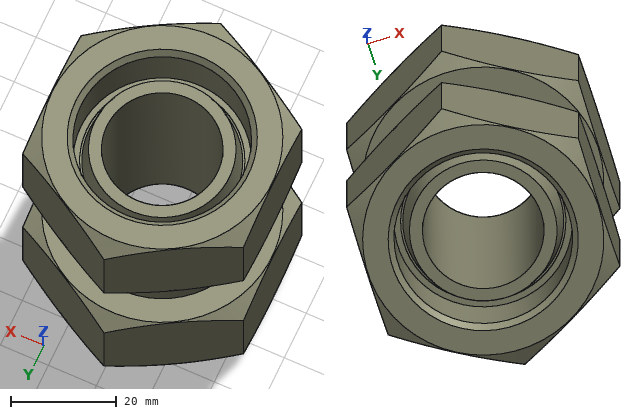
import cadquery as cq
import math

total_height = 58.0
nut_height = 21.0
across_flats = 46.0
across_corners = across_flats / math.cos(math.radians(30))
hexagon_turn = 30
neck_diameter = 36.0
bore_diameter = 23.0

nut_face_diameter = 45.7
corner_chamfer_angle = 30

mouth_diameter = 36.0
thread_diameter = 33.8
mouth_chamfer = (mouth_diameter - thread_diameter) / 2

nipple_depth = 6.0
nipple_tip_diameter = 27.95
nipple_base_diameter = 30.5
shoulder_hole_diameter = 31.3
cone_half_angle = 12
cone_height = (nipple_base_diameter - nipple_tip_diameter) / 2 / math.tan(math.radians(cone_half_angle))
groove_depth = nipple_depth + cone_height
groove_step = 0.25
shoulder_depth = groove_depth - groove_step


def revolve_profile(points):
    """Revolve (radius, height) points about the Z axis."""
    return cq.Workplane("XZ").polyline(points).close().revolve(360, (0, 0), (0, 1))


def make_nut():
    """Hexagon with corners on the Y axis and both ends chamfered."""
    face_radius = nut_face_diameter / 2
    corner_radius = across_corners / 2
    corner_drop = (corner_radius - face_radius) * math.tan(math.radians(corner_chamfer_angle))
    hexagon = (
        cq.Workplane("XY")
        .polygon(6, across_corners)
        .extrude(nut_height)
        .rotate((0, 0, 0), (0, 0, 1), hexagon_turn)
    )
    envelope = revolve_profile([
        (0, 0),
        (face_radius, 0),
        (corner_radius, corner_drop),
        (corner_radius, nut_height - corner_drop),
        (face_radius, nut_height),
        (0, nut_height),
    ])
    return hexagon.intersect(envelope)


def make_top_cavity():
    """Empty space of the upper mouth, above and around the nipple."""
    return revolve_profile([
        (0, total_height),
        (mouth_diameter / 2, total_height),
        (thread_diameter / 2, total_height - mouth_chamfer),
        (thread_diameter / 2, total_height - shoulder_depth),
        (shoulder_hole_diameter / 2, total_height - shoulder_depth),
        (shoulder_hole_diameter / 2, total_height - groove_depth),
        (nipple_base_diameter / 2, total_height - groove_depth),
        (nipple_tip_diameter / 2, total_height - nipple_depth),
        (0, total_height - nipple_depth),
    ])


lower_nut = make_nut()
upper_nut = lower_nut.translate((0, 0, total_height - nut_height))
neck_length = total_height - 2 * nut_height
neck = cq.Workplane("XY").workplane(offset=nut_height).circle(neck_diameter / 2).extrude(neck_length)
body = lower_nut.union(neck).union(upper_nut)

top_cavity = make_top_cavity()
bottom_cavity = top_cavity.mirror("XY", (0, 0, total_height / 2))
bore = cq.Workplane("XY").circle(bore_diameter / 2).extrude(total_height)

centring_shift = (0, 0, -total_height / 2)
result = body.cut(top_cavity).cut(bottom_cavity).cut(bore).translate(centring_shift)